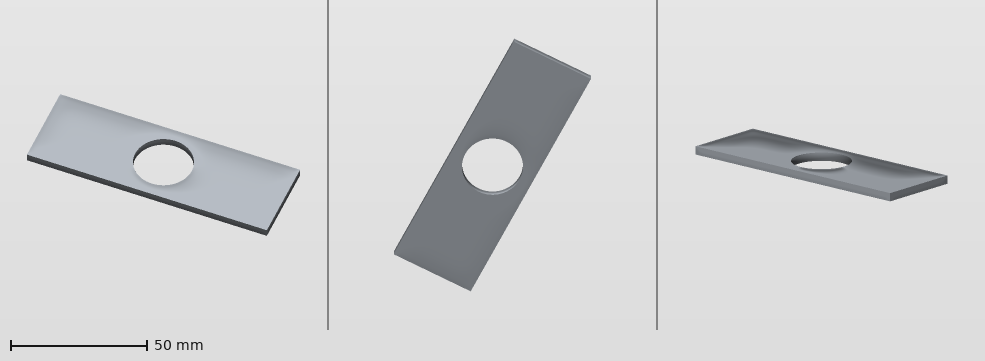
import cadquery as cq

length = 95.25
width = 31.7
thickness = 3.1
hole_diameter = 22.4

result = (
    cq.Workplane("XY")
    .box(length, width, thickness)
    .faces(">Z")
    .workplane()
    .hole(hole_diameter)
)